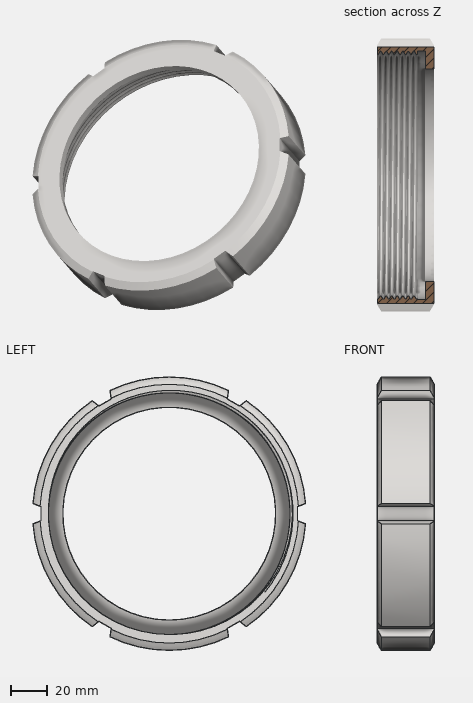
import cadquery as cq
import math

nut_width = 31.0
outer_radius = 74.0
lip_thickness = 5.0
lip_bore_radius = 57.5

chamfer_angle = 30.0
chamfer_height = 4.0
chamfer_length = chamfer_height * math.tan(math.radians(chamfer_angle))

slot_count = 6
slot_opening_width = 11.0
slot_floor_width = 7.6
slot_floor_radius = 69.5
slot_clearance = 2.0

thread_pitch = 3.0
thread_major_radius = 67.0
thread_depth = 5 / 8 * thread_pitch * math.sqrt(3) / 2
thread_minor_radius = thread_major_radius - thread_depth
root_flat = thread_pitch / 8
flank_angle = 30.0
flank_slope = math.tan(math.radians(flank_angle))
thread_turns = 8.5
thread_start_angle = 222.0
thread_start_x = -thread_pitch * thread_start_angle / 360

relief_width = 4.0
relief_radius = thread_major_radius + 0.2

groove_overlap = 0.2


def make_ring():
    """Turned blank: chamfered rim, bore, relief and lip."""
    rim_radius = outer_radius - chamfer_height
    lip_face_x = nut_width - lip_thickness
    relief_start_x = lip_face_x - relief_width
    return (
        cq.Workplane("XY")
        .moveTo(0, thread_minor_radius)
        .lineTo(0, rim_radius)
        .lineTo(chamfer_length, outer_radius)
        .lineTo(nut_width - chamfer_length, outer_radius)
        .lineTo(nut_width, rim_radius)
        .lineTo(nut_width, lip_bore_radius)
        .lineTo(lip_face_x, lip_bore_radius)
        .lineTo(lip_face_x, relief_radius)
        .lineTo(relief_start_x, relief_radius)
        .lineTo(relief_start_x, thread_minor_radius)
        .close()
        .revolve(360, (0, 0, 0), (1, 0, 0))
        .rotate((0, 0, 0), (1, 0, 0), -90)
    )


def make_slot(angle):
    """Cutter for one full-width spanner slot, turned from +Y about the X axis."""
    opening_distance = math.sqrt(outer_radius**2 - (slot_opening_width / 2) ** 2)
    wall_slope = (slot_opening_width - slot_floor_width) / 2 / (opening_distance - slot_floor_radius)
    top_distance = outer_radius + slot_clearance
    half_floor = slot_floor_width / 2
    half_top = half_floor + wall_slope * (top_distance - slot_floor_radius)
    return (
        cq.Workplane("YZ")
        .polyline(
            [
                (slot_floor_radius, -half_floor),
                (top_distance, -half_top),
                (top_distance, half_top),
                (slot_floor_radius, half_floor),
            ]
        )
        .close()
        .extrude(nut_width)
        .rotate((0, 0, 0), (1, 0, 0), angle)
    )


def make_thread_groove():
    """Helical groove cutter, swept about Z and then turned onto the X axis."""
    inner_radius = thread_minor_radius - groove_overlap
    half_root = root_flat / 2
    half_mouth = half_root + flank_slope * (thread_major_radius - inner_radius)
    helix = cq.Wire.makeHelix(thread_pitch, thread_pitch * thread_turns, thread_minor_radius)
    return (
        cq.Workplane("XZ")
        .polyline(
            [
                (inner_radius, -half_mouth),
                (thread_major_radius, -half_root),
                (thread_major_radius, half_root),
                (inner_radius, half_mouth),
            ]
        )
        .close()
        .sweep(cq.Workplane(obj=helix), isFrenet=True)
        .rotate((0, 0, 0), (0, 1, 0), 90)
        .translate((thread_start_x, 0, 0))
    )


result = make_ring()
for slot_index in range(slot_count):
    result = result.cut(make_slot(slot_index * 360 / slot_count))
result = result.cut(make_thread_groove())